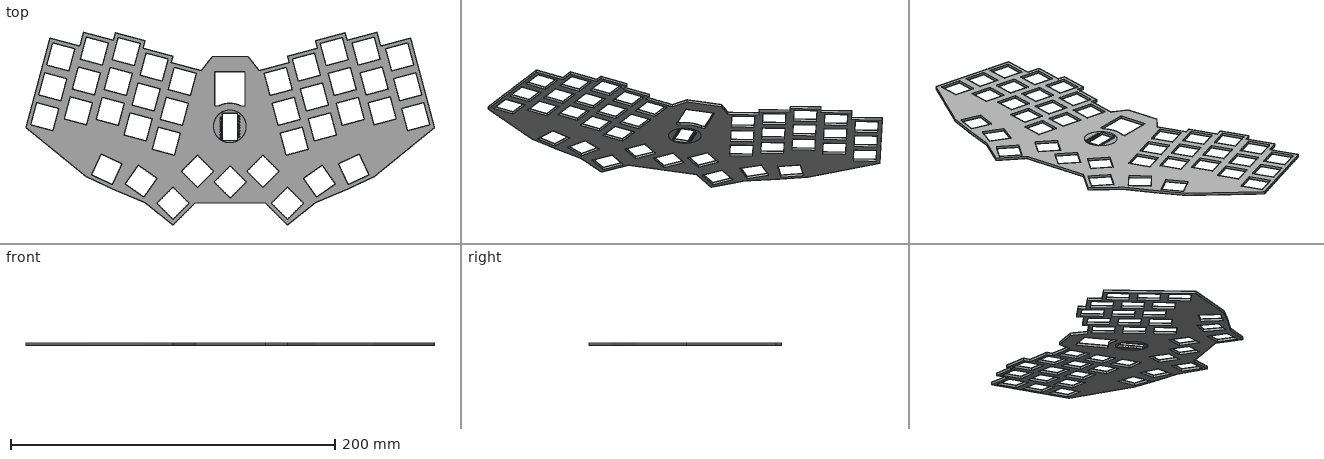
import cadquery as cq
import math

HALF_WIDTH = 126.0
THICKNESS = 1.6

THREE_KEYS = 57.2
PITCH = THREE_KEYS / 3
HALF_CELL = PITCH / 2
CELL_RIM = 2.5
SWITCH_OPENING = PITCH - 2 * CELL_RIM
ROW_STEPS = (-1, 0, 1)

SPLAY_ANGLE = 15.0
COLUMN_STAGGER = (-3.5, 5.3, 10.0, 5.3, 1.3)

LOW_OUTER_KEY = (76.0, -25.2, 25.0)
LOW_MIDDLE_KEY = (55.0, -32.5, 35.0)
LOW_INNER_KEY = (35.3, -46.0, 45.0)
UPPER_THUMB_KEY = (20.2, -26.5, 45.0)
CENTRE_KEY = (0.0, -33.0, 45.0)

TAB_HALF_WIDTH = 11.0
TAB_TOP = 44.3

SENSOR_X = -0.3

DISC_Y = 1.3
DISC_DIAMETER = 20.2
SLOT_WIDTH = 9.3
SLOT_LENGTH = 16.6
SLOT_Y = 1.0

PINS_PER_ROW = 8
PIN_PITCH = 1.8
PIN_ROW_X = 5.5
PIN_ROWS_Y = 0.8
PIN_HOLE_DIAMETER = 1.0
PIN_STAGGER = PIN_PITCH / 2

WINDOW_WIDTH = 18.5
WINDOW_TOP = 34.8
WINDOW_BOTTOM = 13.9
WINDOW_BOW_RADIUS = 14.4


def turned(along, across, angle):
    """Turn a point of a tilted frame into plate coordinates."""
    cosine = math.cos(math.radians(angle))
    sine = math.sin(math.radians(angle))
    return (along * cosine - across * sine, along * sine + across * cosine)


def mirrored(point):
    return (-point[0], point[1])


def cell_corner(key, side, end):
    """Corner of a key's cell: side and end are -1 or 1 in the key's own frame."""
    x, y, angle = key
    dx, dy = turned(side * HALF_CELL, end * HALF_CELL, angle)
    return (x + dx, y + dy)


def column_keys():
    """Finger keys of the right hand, one list per column, from bottom to top."""
    splay = math.radians(SPLAY_ANGLE)
    lowest = COLUMN_STAGGER[0] - PITCH - HALF_CELL
    outer_edge = (HALF_WIDTH + lowest * math.sin(splay)) / math.cos(splay)
    columns = []
    for index, stagger in enumerate(COLUMN_STAGGER):
        along = outer_edge - HALF_CELL - index * PITCH
        centres = [turned(along, stagger + step * PITCH, SPLAY_ANGLE) for step in ROW_STEPS]
        columns.append([(x, y, SPLAY_ANGLE) for x, y in centres])
    return columns


def right_outline(columns):
    """Right half of the plate outline, from the tab down to the lower flat edge."""
    points = [(TAB_HALF_WIDTH, TAB_TOP)]
    for column in reversed(columns):
        top_key = column[-1]
        points.append(cell_corner(top_key, -1, 1))
        points.append(cell_corner(top_key, 1, 1))
    outermost_bottom_key = columns[0][0]
    points.append(cell_corner(outermost_bottom_key, 1, -1))
    points.append(cell_corner(LOW_OUTER_KEY, 1, -1))
    points.append(cell_corner(LOW_OUTER_KEY, -1, -1))
    points.append(cell_corner(LOW_MIDDLE_KEY, -1, -1))
    points.append(cell_corner(LOW_INNER_KEY, -1, -1))
    points.append(cell_corner(LOW_INNER_KEY, -1, 1))
    return points


def switch_cutter(x, y, angle):
    cutter = cq.Workplane("XY").rect(SWITCH_OPENING, SWITCH_OPENING).extrude(THICKNESS)
    return cutter.rotate((0, 0, 0), (0, 0, 1), angle).translate((x, y, 0))


def disc_blank(diameter):
    return cq.Workplane("XY").center(SENSOR_X, DISC_Y).circle(diameter / 2).extrude(THICKNESS)


def window_cutter():
    height = WINDOW_TOP - WINDOW_BOTTOM
    middle = (WINDOW_TOP + WINDOW_BOTTOM) / 2
    window = cq.Workplane("XY").center(SENSOR_X, middle).rect(WINDOW_WIDTH, height).extrude(THICKNESS)
    return window.cut(disc_blank(2 * WINDOW_BOW_RADIUS))


def make_plate():
    columns = column_keys()
    right_half = right_outline(columns)
    left_half = [mirrored(point) for point in reversed(right_half)]
    plate = cq.Workplane("XY").polyline(right_half + left_half).close().extrude(THICKNESS)

    right_keys = [key for column in columns for key in column]
    right_keys += [LOW_OUTER_KEY, LOW_MIDDLE_KEY, LOW_INNER_KEY, UPPER_THUMB_KEY]
    for x, y, angle in right_keys:
        plate = plate.cut(switch_cutter(x, y, angle))
        plate = plate.cut(switch_cutter(-x, y, -angle))
    plate = plate.cut(switch_cutter(*CENTRE_KEY))

    plate = plate.cut(window_cutter())
    return plate.cut(disc_blank(DISC_DIAMETER))


def pin_positions():
    """Pin centres: the right row sits half a pitch higher than the left one."""
    positions = []
    for side in (-1, 1):
        for index in range(PINS_PER_ROW):
            from_middle = (index - (PINS_PER_ROW - 1) / 2) * PIN_PITCH
            positions.append((SENSOR_X + side * PIN_ROW_X, PIN_ROWS_Y + from_middle + side * PIN_STAGGER / 2))
    return positions


def make_sensor_disc():
    slot = cq.Workplane("XY").center(SENSOR_X, SLOT_Y).rect(SLOT_WIDTH, SLOT_LENGTH).extrude(THICKNESS)
    pins = cq.Workplane("XY").pushPoints(pin_positions()).circle(PIN_HOLE_DIAMETER / 2)
    return disc_blank(DISC_DIAMETER).cut(slot).cut(pins.extrude(THICKNESS))


plate = make_plate()
sensor_disc = make_sensor_disc()
result = cq.Compound.makeCompound([plate.val(), sensor_disc.val()])